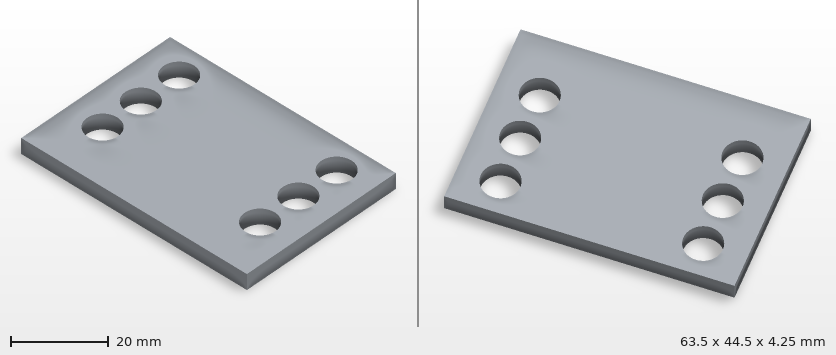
import cadquery as cq

length = 63.5
width = 44.45
thickness = 4.25

hole_diameter = 8.65
column_inset_left = 9.7
column_spacing = 44.3
row_inset = 7.6
row_pitch = 11.4
row_count = 3

first_column_x = -length / 2 + column_inset_left
column_positions = [first_column_x, first_column_x + column_spacing]
row_positions = [width / 2 - row_inset - row * row_pitch for row in range(row_count)]
hole_centers = [(x, y) for x in column_positions for y in row_positions]

plate = cq.Workplane("XY").box(length, width, thickness)
result = plate.faces(">Z").workplane().pushPoints(hole_centers).hole(hole_diameter)